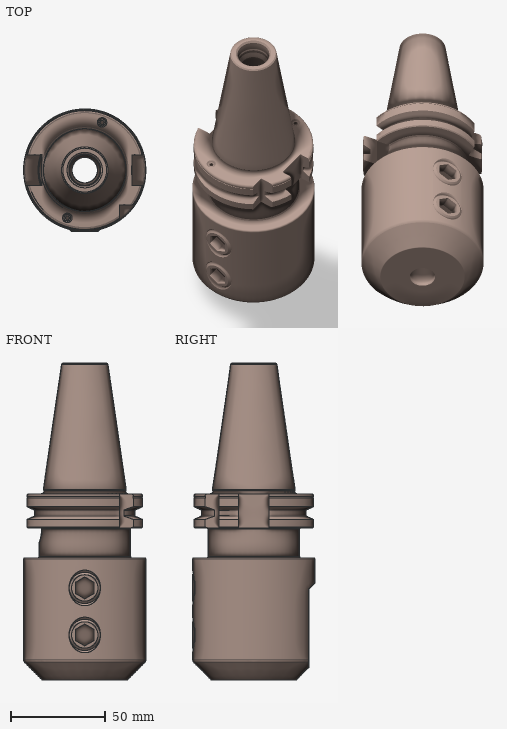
import cadquery as cq
import math

TAPER_TOP_Z = 68.4
FLANGE_TOP_Z = -1.0
FLANGE_BOTTOM_Z = -19.1
BODY_TOP_Z = -35.0
NOSE_Z = -100.0

GAUGE_R = 44.45 / 2
TAPER_SLOPE = 7 / 48
TAPER_TOP_R = GAUGE_R - TAPER_TOP_Z * TAPER_SLOPE
TAPER_EDGE_CHAMFER = 0.6
TAPER_END_Z = 1.2
NECK_R = 21.7
NECK_TOP_Z = 0.7
NECK_ROOT_FILLET = 1.4

FLANGE_R = 63.55 / 2
FLANGE_TOP_FILLET = 1.2
FLANGE_BOTTOM_CHAMFER = 0.5
GROOVE_Z = -11.25
GROOVE_FLOOR_R = 27.8
GROOVE_FLOOR_WIDTH = 3.2
GROOVE_FLOOR_FILLET = 0.5
GROOVE_MOUTH_WIDTH = 6.8
LINE_GROOVE_TOP_Z = -2.4
LINE_GROOVE_BOTTOM_Z = -3.2
LINE_GROOVE_DEPTH = 0.2

COLLAR_R = 24.25
COLLAR_FLARE = 0.6
BODY_R = 32.5
BODY_TOP_FILLET = 0.8
NOSE_CONE_HEIGHT = 10.0
NOSE_R = BODY_R - NOSE_CONE_HEIGHT
NOSE_SHOULDER_FILLET = 2.0
NOSE_EDGE_FILLET = 0.5

FLAT_Y = 29.3
LEDGE_Z = -48.3

ENTRY_MOUTH_R = 9.4
ENTRY_MOUTH_CHAMFER = 0.9
ENTRY_R = ENTRY_MOUTH_R - ENTRY_MOUTH_CHAMFER
ENTRY_DEPTH = 5.5
STEP_R = 8.1
STEP_CHAMFER_HEIGHT = 0.6
STEP_DEPTH = 7.8
BORE_R = 6.75
BORE_START_DEPTH = 10.0

SLOT_WIDTH = 16.1
SLOT_CENTER_Z = FLANGE_BOTTOM_Z
LEFT_SLOT_FLOOR_X = -22.8
RIGHT_SLOT_FLOOR_X = 25.0
NOTCH_OFFSET = 18.5

PLUG_CIRCLE_R = 27.0
PLUG_ANGLE = 70
PLUG_RIM_R = 2.5
PLUG_FACE_R = 1.8
PLUG_RECESS = 0.7
PLUG_SOCKET_AF = 2.0
PLUG_SOCKET_DEPTH = 2.0

FIRST_SCREW_OFFSET = 24.0
SCREW_PITCH = 25.0
FIRST_SCREW_Z = NOSE_Z + FIRST_SCREW_OFFSET
SCREW_HEIGHTS = (FIRST_SCREW_Z, FIRST_SCREW_Z + SCREW_PITCH)
SCREW_FACE_R = 7.0
SCREW_R = 8.3
SCREW_GROOVE_DEPTH = 1.15
SCREW_MOUTH_R = SCREW_R + SCREW_GROOVE_DEPTH
SCREW_SOCKET_AF = 10.0
SCREW_SOCKET_DEPTH = 6.0

HEX_ACROSS_CORNERS = 2 / math.sqrt(3)
HEX_POINT_UP_TURN = 30

CLEARANCE = 1.0


def revolve_profile(points):
    """Revolve a closed (radius, z) outline about Z."""
    return cq.Workplane("XZ").polyline(points).close().revolve(360, (0, 0), (0, 1))


def make_shank():
    """Taper, the small neck under it and the concave root on the flange face."""
    taper_end_r = GAUGE_R - TAPER_END_Z * TAPER_SLOPE
    root_center = (NECK_R + NECK_ROOT_FILLET, FLANGE_TOP_Z + NECK_ROOT_FILLET)
    root_reach = NECK_ROOT_FILLET * math.sqrt(0.5)
    shank = (
        cq.Workplane("XZ")
        .moveTo(0, FLANGE_TOP_Z)
        .lineTo(root_center[0], FLANGE_TOP_Z)
        .threePointArc(
            (root_center[0] - root_reach, root_center[1] - root_reach),
            (NECK_R, root_center[1]),
        )
        .lineTo(NECK_R, NECK_TOP_Z)
        .lineTo(taper_end_r, TAPER_END_Z)
        .lineTo(TAPER_TOP_R, TAPER_TOP_Z)
        .lineTo(0, TAPER_TOP_Z)
        .close()
        .revolve(360, (0, 0), (0, 1))
    )
    return shank.faces(">Z").chamfer(TAPER_EDGE_CHAMFER)


def make_flange():
    flange_height = FLANGE_TOP_Z - FLANGE_BOTTOM_Z
    flange = cq.Workplane("XY", origin=(0, 0, FLANGE_BOTTOM_Z)).circle(FLANGE_R).extrude(flange_height)
    flange = flange.faces(">Z").edges().fillet(FLANGE_TOP_FILLET)
    flange = flange.faces("<Z").edges().chamfer(FLANGE_BOTTOM_CHAMFER)
    groove = revolve_profile([
        (GROOVE_FLOOR_R, GROOVE_Z - GROOVE_FLOOR_WIDTH / 2),
        (FLANGE_R, GROOVE_Z - GROOVE_MOUTH_WIDTH / 2),
        (FLANGE_R + CLEARANCE, GROOVE_Z - GROOVE_MOUTH_WIDTH / 2),
        (FLANGE_R + CLEARANCE, GROOVE_Z + GROOVE_MOUTH_WIDTH / 2),
        (FLANGE_R, GROOVE_Z + GROOVE_MOUTH_WIDTH / 2),
        (GROOVE_FLOOR_R, GROOVE_Z + GROOVE_FLOOR_WIDTH / 2),
    ])
    groove = groove.edges(cq.selectors.RadiusNthSelector(0)).fillet(GROOVE_FLOOR_FILLET)
    line_groove = revolve_profile([
        (FLANGE_R - LINE_GROOVE_DEPTH, LINE_GROOVE_BOTTOM_Z),
        (FLANGE_R + CLEARANCE, LINE_GROOVE_BOTTOM_Z),
        (FLANGE_R + CLEARANCE, LINE_GROOVE_TOP_Z),
        (FLANGE_R - LINE_GROOVE_DEPTH, LINE_GROOVE_TOP_Z),
    ])
    return flange.cut(groove).cut(line_groove)


def make_collar():
    return revolve_profile([
        (0, BODY_TOP_Z),
        (COLLAR_R + COLLAR_FLARE, BODY_TOP_Z),
        (COLLAR_R, BODY_TOP_Z + COLLAR_FLARE),
        (COLLAR_R, FLANGE_BOTTOM_Z - COLLAR_FLARE),
        (COLLAR_R + COLLAR_FLARE, FLANGE_BOTTOM_Z),
        (0, FLANGE_BOTTOM_Z),
    ])


def make_body():
    body = revolve_profile([
        (0, NOSE_Z),
        (NOSE_R, NOSE_Z),
        (BODY_R, NOSE_Z + NOSE_CONE_HEIGHT),
        (BODY_R, BODY_TOP_Z),
        (0, BODY_TOP_Z),
    ])
    body = body.faces(">Z").edges().fillet(BODY_TOP_FILLET)
    shoulder_z = NOSE_Z + NOSE_CONE_HEIGHT
    shoulder = cq.selectors.BoxSelector(
        (-BODY_R - CLEARANCE, -BODY_R - CLEARANCE, shoulder_z - CLEARANCE),
        (BODY_R + CLEARANCE, BODY_R + CLEARANCE, shoulder_z + CLEARANCE),
        boundingbox=True,
    )
    body = body.edges(shoulder).fillet(NOSE_SHOULDER_FILLET)
    body = body.faces("<Z").edges().fillet(NOSE_EDGE_FILLET)

    reach = BODY_R + CLEARANCE - FLAT_Y
    flat = (
        cq.Workplane("YZ")
        .polyline([
            (FLAT_Y, NOSE_Z),
            (FLAT_Y + reach, NOSE_Z),
            (FLAT_Y + reach, LEDGE_Z + CLEARANCE),
            (FLAT_Y, LEDGE_Z - (BODY_R - FLAT_Y)),
        ])
        .close()
        .extrude(BODY_R, both=True)
    )
    return body.cut(flat)


def make_bore():
    return revolve_profile([
        (0, NOSE_Z),
        (BORE_R, NOSE_Z),
        (BORE_R, TAPER_TOP_Z - BORE_START_DEPTH),
        (STEP_R, TAPER_TOP_Z - STEP_DEPTH),
        (STEP_R, TAPER_TOP_Z - ENTRY_DEPTH - STEP_CHAMFER_HEIGHT),
        (ENTRY_R, TAPER_TOP_Z - ENTRY_DEPTH),
        (ENTRY_R, TAPER_TOP_Z - ENTRY_MOUTH_CHAMFER),
        (ENTRY_MOUTH_R, TAPER_TOP_Z),
        (0, TAPER_TOP_Z),
    ])


def make_drive_slot(floor_x, outer_x):
    """Slot open at the flange top, with a round lower end."""
    height = FLANGE_TOP_Z - SLOT_CENTER_Z
    depth = outer_x - floor_x
    plane = cq.Workplane("YZ", origin=(floor_x, 0, SLOT_CENTER_Z))
    straight = plane.center(0, height / 2).rect(SLOT_WIDTH, height).extrude(depth)
    round_end = plane.circle(SLOT_WIDTH / 2).extrude(depth)
    return straight.union(round_end)


def make_notch():
    height = FLANGE_TOP_Z - FLANGE_BOTTOM_Z
    size = FLANGE_R - NOTCH_OFFSET
    corner = (NOTCH_OFFSET, -NOTCH_OFFSET - size, FLANGE_BOTTOM_Z)
    return cq.Workplane("XY", origin=corner).rect(size, size, centered=False).extrude(height)


def make_plug_recess(angle):
    turn = math.radians(angle)
    center = (PLUG_CIRCLE_R * math.cos(turn), PLUG_CIRCLE_R * math.sin(turn), FLANGE_TOP_Z)
    plane = cq.Workplane("XY", origin=center)
    rim_taper = math.degrees(math.atan2(PLUG_RIM_R - PLUG_FACE_R, PLUG_RECESS))
    recess = plane.circle(PLUG_RIM_R).extrude(-PLUG_RECESS, taper=rim_taper)
    socket = plane.polygon(6, PLUG_SOCKET_AF * HEX_ACROSS_CORNERS).extrude(-PLUG_RECESS - PLUG_SOCKET_DEPTH)
    return recess.union(socket)


def make_clamp_screw_cut(z):
    """V groove around the screw head, plus the hexagon socket in it."""
    groove = (
        cq.Workplane("XY", origin=(0, 0, z))
        .polyline([
            (SCREW_FACE_R, -BODY_R),
            (SCREW_R, -BODY_R + SCREW_GROOVE_DEPTH),
            (SCREW_MOUTH_R, -BODY_R),
        ])
        .close()
        .revolve(360, (0, 0), (0, 1))
    )
    socket = (
        cq.Workplane("XZ", origin=(0, -BODY_R, z))
        .transformed(rotate=(0, 0, HEX_POINT_UP_TURN))
        .polygon(6, SCREW_SOCKET_AF * HEX_ACROSS_CORNERS)
        .extrude(-SCREW_SOCKET_DEPTH)
    )
    return groove.union(socket)


def make_clamp_screw_head(z):
    """Chamfered screw head whose flat face touches the body's outermost line."""
    return (
        cq.Workplane("XY", origin=(0, 0, z))
        .polyline([
            (0, -BODY_R),
            (SCREW_FACE_R, -BODY_R),
            (SCREW_R, -BODY_R + SCREW_GROOVE_DEPTH),
            (0, -BODY_R + SCREW_GROOVE_DEPTH),
        ])
        .close()
        .revolve(360, (0, 0), (0, 1))
    )


result = make_shank().union(make_flange()).union(make_collar()).union(make_body())
result = result.cut(make_drive_slot(-FLANGE_R, LEFT_SLOT_FLOOR_X))
result = result.cut(make_drive_slot(RIGHT_SLOT_FLOOR_X, FLANGE_R))
result = result.cut(make_notch())
for plug_angle in (PLUG_ANGLE, PLUG_ANGLE + 180):
    result = result.cut(make_plug_recess(plug_angle))
for screw_z in SCREW_HEIGHTS:
    result = result.union(make_clamp_screw_head(screw_z))
    result = result.cut(make_clamp_screw_cut(screw_z))
result = result.cut(make_bore())